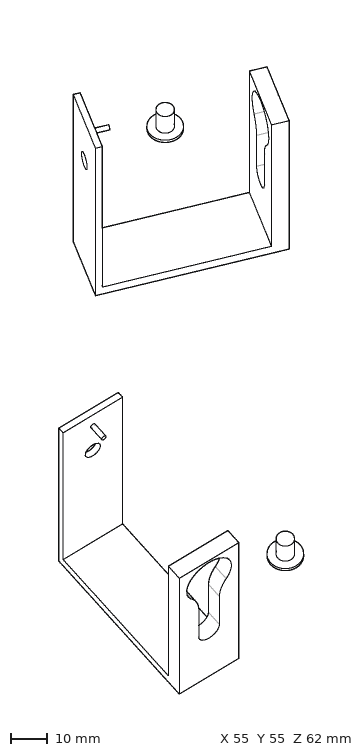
import cadquery as cq
import math

bracket_width = 20.0
bracket_depth = 55.0
front_height = 62.0
back_height = 54.0
front_thickness = 2.0
back_thickness = 5.0
floor_thickness = 3.0

hole_diameter = 5.0
hole_height = 45.5
keyhole_head_radius = 7.5
keyhole_slot_radius = 3.5
keyhole_neck_radius = 10.0
keyhole_slot_end_height = 21.3

peg_diameter = 1.5
peg_length = 5.0
peg_height = 57.0

pin_offset_x = 40.0
pin_offset_y = 35.5
pin_base_height = 1.0
pin_flange_diameter = 10.0
pin_flange_thickness = 1.0
pin_stem_diameter = 5.0
pin_stem_length = 7.0


def wall_sketch_plane(y):
    """Plane parallel to the walls; its local axes are X and Z and its normal is +Y."""
    return cq.Plane(origin=(0, y, 0), xDir=(-1, 0, 0), normal=(0, 1, 0))


def make_keyhole_cutter():
    """Round head blended into a round-ended slot by two concave neck arcs."""
    neck_center_x = keyhole_slot_radius + keyhole_neck_radius
    center_distance = keyhole_head_radius + keyhole_neck_radius
    neck_drop = math.sqrt(center_distance**2 - neck_center_x**2)
    neck_center_z = hole_height - neck_drop
    head_fraction = keyhole_head_radius / center_distance
    tangent_x = neck_center_x * head_fraction
    tangent_z = hole_height - neck_drop * head_fraction

    half_sweep = math.atan2(neck_drop, neck_center_x) / 2
    neck_mid_x = neck_center_x - keyhole_neck_radius * math.cos(half_sweep)
    neck_mid_z = neck_center_z + keyhole_neck_radius * math.sin(half_sweep)

    head_top = (0, hole_height + keyhole_head_radius)
    slot_bottom = (0, keyhole_slot_end_height - keyhole_slot_radius)
    return (
        cq.Workplane(wall_sketch_plane(bracket_depth - back_thickness))
        .moveTo(-tangent_x, tangent_z)
        .threePointArc(head_top, (tangent_x, tangent_z))
        .threePointArc((neck_mid_x, neck_mid_z), (keyhole_slot_radius, neck_center_z))
        .lineTo(keyhole_slot_radius, keyhole_slot_end_height)
        .threePointArc(slot_bottom, (-keyhole_slot_radius, keyhole_slot_end_height))
        .lineTo(-keyhole_slot_radius, neck_center_z)
        .threePointArc((-neck_mid_x, neck_mid_z), (-tangent_x, tangent_z))
        .close()
        .extrude(back_thickness)
    )


def make_strap():
    """U-shaped side profile extruded across the bracket width, centered on X = 0."""
    back_inner_y = bracket_depth - back_thickness
    return (
        cq.Workplane("YZ")
        .polyline([
            (0, 0),
            (bracket_depth, 0),
            (bracket_depth, back_height),
            (back_inner_y, back_height),
            (back_inner_y, floor_thickness),
            (front_thickness, floor_thickness),
            (front_thickness, front_height),
            (0, front_height),
        ])
        .close()
        .extrude(bracket_width / 2, both=True)
    )


def make_bracket():
    """Strap with its front hole, its keyhole and the integral peg."""
    front_hole = (
        cq.Workplane(wall_sketch_plane(0))
        .center(0, hole_height)
        .circle(hole_diameter / 2)
        .extrude(front_thickness)
    )
    peg = (
        cq.Workplane(wall_sketch_plane(front_thickness))
        .center(0, peg_height)
        .circle(peg_diameter / 2)
        .extrude(peg_length)
    )
    return make_strap().cut(front_hole).cut(make_keyhole_cutter()).union(peg)


def make_pin():
    """Thin round flange with a coaxial stem standing on it."""
    flange = (
        cq.Workplane("XY", origin=(-pin_offset_x, pin_offset_y, pin_base_height))
        .circle(pin_flange_diameter / 2)
        .extrude(pin_flange_thickness)
    )
    return flange.faces(">Z").workplane().circle(pin_stem_diameter / 2).extrude(pin_stem_length)


bracket = make_bracket()
pin = make_pin()

result = cq.Compound.makeCompound([bracket.val(), pin.val()])